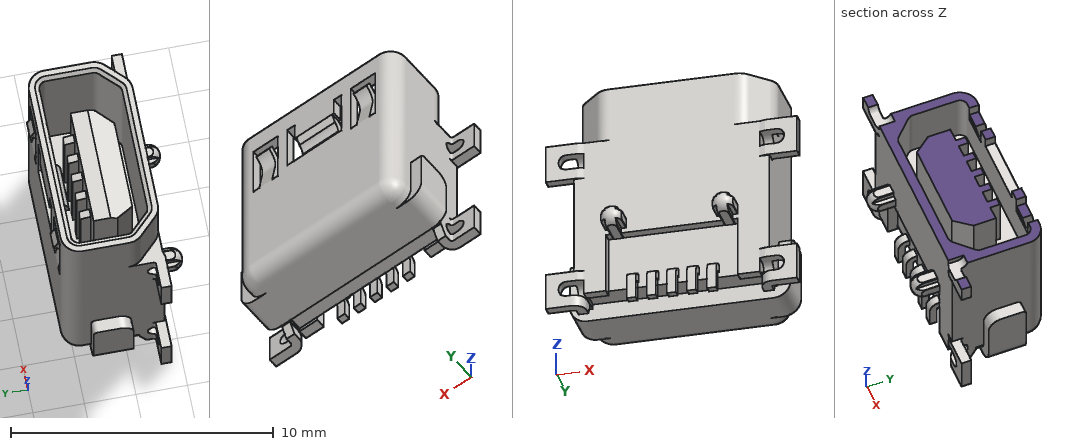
import cadquery as cq
import math


WIDTH = 9.9
HEIGHT = 9.2
SHELL_WIDTH = 7.7
SHELL_DEPTH = 3.9
SHEET = 0.41
SHELL_HALF = SHELL_WIDTH / 2
INNER_HALF = SHELL_HALF - SHEET
INNER_BACK = SHELL_DEPTH - SHEET

CORNER_RADIUS = 0.71
MOUTH_BEVEL = 1.08
BEVEL_BOTTOM = 7.0
RIM_CHAMFER = 0.17
RIM_DEPTH = 0.1
BASE_FILLET = 0.68

FLOOR_Z = 3.96
HOUSING_BOTTOM = 0.68
FLAP_FRONT = 1.3
FRONT_BOTTOM = 0.495
SIDE_BOTTOM = 0.61
WINDOW_HALF = 2.59
WINDOW_TOP = 2.91

TONGUE_HALF = 2.3
TONGUE_TIP_HALF = 1.77
TONGUE_FRONT = 0.85
TONGUE_SHOULDER = 1.52
TONGUE_RIDGE = 1.79
TONGUE_BACK = 2.46
TONGUE_TOP = 8.32
TONGUE_DROP = 0.46

CONTACT_COUNT = 5
CONTACT_PITCH = 0.79
BLADE_WIDTH = 0.32
BLADE_BACK = 2.84
BLADE_TOP = 7.52
BLADE_SLOPE = 0.08
BLADE_ROUND = 0.04
TAIL_WIDTH = 0.36
TAIL_THICKNESS = 0.3
TAIL_TOP = 1.21
TAIL_BOTTOM = 0.03
TAIL_BEND = 0.38
TAIL_ROOT_Y = 0.81

SEAT_Y = -0.06
TAB_BACK = SEAT_Y + SHEET
TAB_HEIGHT_UPPER = 1.51
TAB_HEIGHT_LOWER = 1.48
JOGGLE_START = 3.465
JOGGLE_END = 3.69
TAB_FILLET = 0.1
FOOT_BEND = 0.495
FOOT_TOP = 0.46
FOOT_BACK_LOW = 0.7
FOOT_BACK_HIGH = 0.99
SLOT_RADIUS = 0.31
SLOT_END = 4.45
UPPER_SLOT_Z = 6.24
LOWER_SLOT_Z = 0.76

PEG_X = 2.2
PEG_Z = 3.31
PEG_TIP = -1.0
PEG_SPAN = 0.81
PEG_ARM_X = 0.44
PEG_ARM_Z = 0.4
PEG_DOME = 0.45

WING_HALF = 4.36
WING_BACK = 2.85
WING_TOP = 2.61
WING_FRONT_RADIUS = 0.53
WING_BACK_RADIUS = 0.19

LATCH_X = 2.36
LATCH_WIDTH = 0.62
LATCH_TIP_Y = 3.9
LATCH_TIP_Z = 7.68
LATCH_RADIUS = 1.12
LATCH_TIP_ANGLE = 63.0
LATCH_ROOT_ANGLE = 12.0
LATCH_WINDOW_WIDTH = 1.18
LATCH_WINDOW_TOP = 8.13
LATCH_WINDOW_BOTTOM = 5.445

SPRING_HALF = 0.95
SPRING_LEAF_HALF = 0.86
SPRING_SLOT_HALF = 1.32
SPRING_TOP = 8.12
SPRING_BEND_Z = 7.23
SPRING_TIP_Y = 3.12
SPRING_BEND_ANGLE = 55.0
SPRING_WINDOW_BOTTOM = 5.74


def box(x0, x1, y0, y1, z0, z1):
    """Axis-aligned box between two corners."""
    return cq.Workplane("XY").box(x1 - x0, y1 - y0, z1 - z0, centered=False).translate((x0, y0, z0))


def extrude_x(profile, width, center_x=0.0):
    """Extrude a closed YZ profile along X, centred on center_x."""
    return profile.extrude(width / 2, both=True).translate((center_x, 0, 0))


def arc_point(center_y, center_z, radius, angle):
    """YZ point on a circle; the angle rises from the -Y direction toward +Z."""
    return (center_y - radius * math.cos(angle), center_z + radius * math.sin(angle))


def both_sides(solid):
    """The solid together with its mirror image across X = 0."""
    return solid.union(solid.mirror("YZ"))


def mouth_prism(bottom, top, inset=0.0):
    """Bevelled mouth section with rounded corners, shrunk evenly by inset."""
    half = SHELL_HALF - inset
    back = SHELL_DEPTH - inset
    bevel = MOUTH_BEVEL - inset * (2 - math.sqrt(2))
    outline = cq.Workplane("XY").workplane(offset=bottom).polyline([
        (-half, inset + bevel),
        (-half + bevel, inset),
        (half - bevel, inset),
        (half, inset + bevel),
        (half, back),
        (-half, back),
    ]).close()
    return outline.extrude(top - bottom).edges("|Z").fillet(CORNER_RADIUS - inset)


def shell_body():
    """Outer body: square-fronted below, bevelled around the mouth, closed at the base."""
    lower = box(-SHELL_HALF, SHELL_HALF, 0, SHELL_DEPTH, 0, BEVEL_BOTTOM)
    lower = lower.edges("|Z and >Y").fillet(CORNER_RADIUS)
    lower = lower.faces("<Z").edges("not(<Y)").fillet(BASE_FILLET)
    lower = lower.cut(box(-WIDTH, WIDTH, 0, FLAP_FRONT, 0, FRONT_BOTTOM))
    lower = lower.union(both_sides(box(INNER_HALF, SHELL_HALF, 0, FLAP_FRONT, SIDE_BOTTOM, BASE_FILLET)))
    lower = lower.cut(box(-INNER_HALF, INNER_HALF, SHEET, FLAP_FRONT, 0, HOUSING_BOTTOM))
    lower = lower.cut(box(-WINDOW_HALF, WINDOW_HALF, 0, SHEET, 0, WINDOW_TOP))
    return lower.union(mouth_prism(BEVEL_BOTTOM, HEIGHT))


def cavity():
    """Plug opening with a chamfered rim."""
    opening = mouth_prism(FLOOR_Z, HEIGHT, SHEET)
    rim = mouth_prism(HEIGHT - RIM_DEPTH, HEIGHT + SHEET, SHEET - RIM_CHAMFER)
    return opening.union(rim.faces("<Z").chamfer(RIM_DEPTH, RIM_CHAMFER))


def tongue():
    """Contact tongue with a sloped front and bevelled front corners."""
    plan = cq.Workplane("XY").workplane(offset=FLOOR_Z).polyline([
        (-TONGUE_TIP_HALF, TONGUE_FRONT),
        (TONGUE_TIP_HALF, TONGUE_FRONT),
        (TONGUE_HALF, TONGUE_SHOULDER),
        (TONGUE_HALF, TONGUE_BACK),
        (-TONGUE_HALF, TONGUE_BACK),
        (-TONGUE_HALF, TONGUE_SHOULDER),
    ]).close().extrude(TONGUE_TOP - FLOOR_Z)
    slope = cq.Workplane("YZ").polyline([
        (TONGUE_FRONT, TONGUE_TOP - TONGUE_DROP),
        (TONGUE_RIDGE, TONGUE_TOP),
        (TONGUE_FRONT, TONGUE_TOP),
    ]).close()
    return plan.cut(extrude_x(slope, 2 * TONGUE_HALF))


def contact(center_x):
    """One contact: a blade on the back of the tongue and a bent solder tail."""
    blade = cq.Workplane("YZ").polyline([
        (TONGUE_BACK, FLOOR_Z),
        (BLADE_BACK, FLOOR_Z),
        (BLADE_BACK, BLADE_TOP - BLADE_SLOPE),
        (TONGUE_BACK, BLADE_TOP),
    ]).close()
    inner_radius = TAIL_BEND - TAIL_THICKNESS
    bend_y = SEAT_Y + TAIL_BEND
    bend_z = TAIL_TOP - TAIL_BEND
    mid_angle = math.radians(45)
    tail = (
        cq.Workplane("YZ")
        .moveTo(SEAT_Y, TAIL_BOTTOM)
        .lineTo(SEAT_Y, bend_z)
        .threePointArc(arc_point(bend_y, bend_z, TAIL_BEND, mid_angle), (bend_y, TAIL_TOP))
        .lineTo(TAIL_ROOT_Y, TAIL_TOP)
        .lineTo(TAIL_ROOT_Y, TAIL_TOP - TAIL_THICKNESS)
        .lineTo(bend_y, TAIL_TOP - TAIL_THICKNESS)
        .threePointArc(
            arc_point(bend_y, bend_z, inner_radius, mid_angle), (bend_y - inner_radius, bend_z)
        )
        .lineTo(SEAT_Y + TAIL_THICKNESS, TAIL_BOTTOM)
        .close()
    )
    blade = extrude_x(blade, BLADE_WIDTH, center_x)
    blade = blade.edges("|X and >Y").edges(">Z").fillet(BLADE_ROUND)
    return blade.union(extrude_x(tail, TAIL_WIDTH, center_x))


def tab(bottom, height):
    """Right-hand solder tab with a joggle down to the seating plane."""
    return (
        cq.Workplane("XY")
        .workplane(offset=bottom)
        .moveTo(JOGGLE_START, 0)
        .lineTo(JOGGLE_END, SEAT_Y)
        .lineTo(WIDTH / 2, SEAT_Y)
        .lineTo(WIDTH / 2, TAB_BACK)
        .lineTo(SHELL_HALF + TAB_FILLET, TAB_BACK)
        .radiusArc((SHELL_HALF, TAB_BACK + TAB_FILLET), TAB_FILLET)
        .lineTo(JOGGLE_START, TAB_BACK + TAB_FILLET)
        .close()
        .extrude(height)
    )


def foot():
    """Lower end of the right side wall, rolled outward into the lower tab."""
    bend_x = JOGGLE_START + FOOT_BEND
    bend_y = SEAT_Y + FOOT_BEND
    strip = (
        cq.Workplane("XY")
        .moveTo(bend_x, SEAT_Y)
        .lineTo(WIDTH / 2, SEAT_Y)
        .lineTo(WIDTH / 2, TAB_BACK)
        .lineTo(SHELL_HALF + TAB_FILLET, TAB_BACK)
        .radiusArc((SHELL_HALF, TAB_BACK + TAB_FILLET), TAB_FILLET)
        .lineTo(SHELL_HALF, FOOT_BACK_HIGH)
        .lineTo(JOGGLE_START, FOOT_BACK_HIGH)
        .lineTo(JOGGLE_START, bend_y)
        .radiusArc((bend_x, SEAT_Y), -FOOT_BEND)
        .close()
        .extrude(SIDE_BOTTOM)
    )
    slanted_back = cq.Workplane("YZ").polyline([
        (FOOT_BACK_LOW, 0),
        (FOOT_BACK_HIGH, FRONT_BOTTOM),
        (FOOT_BACK_HIGH, 0),
    ]).close()
    return strip.cut(extrude_x(slanted_back, WIDTH))


def tab_slot(center_z):
    """Round-ended slot through the right tab, running into the side wall behind it."""
    end_x = SLOT_END - SLOT_RADIUS
    through = box(JOGGLE_START, end_x, SEAT_Y, TAB_BACK, center_z - SLOT_RADIUS, center_z + SLOT_RADIUS)
    round_end = (
        cq.Workplane("XZ", origin=(end_x, SEAT_Y, center_z))
        .circle(SLOT_RADIUS)
        .extrude(-SHEET)
    )
    wall_notch = (
        cq.Workplane("YZ", origin=(JOGGLE_START, TAB_BACK, center_z))
        .circle(SLOT_RADIUS)
        .extrude(end_x - JOGGLE_START)
    )
    return through.union(round_end).union(wall_notch)


def peg():
    """Right-hand cross-shaped peg with a domed tip."""
    length = SHEET - PEG_TIP
    center = (PEG_X, (SHEET + PEG_TIP) / 2, PEG_Z)
    cross = (
        cq.Workplane("XY").box(PEG_SPAN, length, PEG_ARM_Z)
        .union(cq.Workplane("XY").box(PEG_ARM_X, length, PEG_SPAN))
        .translate(center)
    )
    dome_y = PEG_TIP + PEG_DOME
    dome = cq.Workplane("XY").sphere(PEG_DOME).translate((PEG_X, dome_y, PEG_Z))
    shank = cq.Workplane("XZ", origin=(PEG_X, dome_y, PEG_Z)).circle(PEG_DOME).extrude(dome_y - SHEET)
    return cross.intersect(dome.union(shank))


def wing():
    """Right-hand wing of the base flap, folded up along the side of the shell."""
    inner_x = SHELL_HALF - BASE_FILLET
    block = box(inner_x, WING_HALF, FLAP_FRONT, WING_BACK, 0, WING_TOP)
    block = block.edges("|X and >Z and <Y").fillet(WING_FRONT_RADIUS)
    block = block.edges("|X and >Z and >Y").fillet(WING_BACK_RADIUS)
    return block.edges("|Y and >X and <Z").fillet(BASE_FILLET)


def latch_window():
    """Opening in the back wall around the right latch."""
    half = LATCH_WINDOW_WIDTH / 2
    return box(
        LATCH_X - half, LATCH_X + half, INNER_BACK, SHELL_DEPTH, LATCH_WINDOW_BOTTOM, LATCH_WINDOW_TOP
    )


def latch():
    """Right latch leaf: rises from the back wall, bows into the mouth and hooks outward."""
    tip = math.radians(LATCH_TIP_ANGLE)
    root = math.radians(-LATCH_ROOT_ANGLE)
    center_y = LATCH_TIP_Y + LATCH_RADIUS * math.cos(tip)
    center_z = LATCH_TIP_Z - LATCH_RADIUS * math.sin(tip)

    def on_arc(radius, angle):
        return arc_point(center_y, center_z, radius, angle)

    inner_radius = LATCH_RADIUS - SHEET
    root_front = on_arc(LATCH_RADIUS, root)
    root_back = on_arc(inner_radius, root)
    lean = math.tan(-root)
    root_z = LATCH_WINDOW_BOTTOM - SHEET
    profile = (
        cq.Workplane("YZ")
        .moveTo(*on_arc(LATCH_RADIUS, tip))
        .threePointArc(on_arc(LATCH_RADIUS, (tip + root) / 2), root_front)
        .lineTo(root_front[0] + lean * (root_front[1] - root_z), root_z)
        .lineTo(SHELL_DEPTH, root_z)
        .lineTo(SHELL_DEPTH, LATCH_WINDOW_BOTTOM)
        .lineTo(*root_back)
        .threePointArc(on_arc(inner_radius, (tip + root) / 2), on_arc(inner_radius, tip))
        .close()
    )
    return extrude_x(profile, LATCH_WIDTH, LATCH_X)


def spring_window():
    """U-shaped opening that frees the central spring from the back wall."""
    window = box(
        -SPRING_SLOT_HALF, SPRING_SLOT_HALF, INNER_BACK, SHELL_DEPTH, SPRING_WINDOW_BOTTOM, SPRING_TOP
    )
    root = box(-SPRING_HALF, SPRING_HALF, INNER_BACK, SHELL_DEPTH, SPRING_BEND_Z, SPRING_TOP)
    return window.cut(root)


def spring():
    """Central leaf hanging from the back wall and curving into the mouth until it is upright."""
    angle = math.radians(SPRING_BEND_ANGLE)
    outer_radius = (INNER_BACK - SPRING_TIP_Y) / (1 - math.cos(angle))
    inner_radius = outer_radius - SHEET
    center_y = SPRING_TIP_Y + outer_radius
    center_z = SPRING_BEND_Z - outer_radius * math.sin(angle)

    def on_arc(radius, at):
        return arc_point(center_y, center_z, radius, at)

    profile = (
        cq.Workplane("YZ")
        .moveTo(INNER_BACK, SPRING_BEND_Z)
        .threePointArc(on_arc(outer_radius, angle / 2), on_arc(outer_radius, 0))
        .lineTo(*on_arc(inner_radius, 0))
        .threePointArc(on_arc(inner_radius, angle / 2), on_arc(inner_radius, angle))
        .lineTo(SHELL_DEPTH, SPRING_BEND_Z)
        .close()
    )
    return extrude_x(profile, 2 * SPRING_LEAF_HALF)


result = shell_body().union(both_sides(wing()))
result = result.cut(cavity()).union(tongue())

result = result.cut(both_sides(latch_window())).union(both_sides(latch()))
result = result.cut(spring_window()).union(spring())

result = result.union(both_sides(tab(BEVEL_BOTTOM - TAB_HEIGHT_UPPER, TAB_HEIGHT_UPPER)))
result = result.union(both_sides(tab(FOOT_TOP, TAB_HEIGHT_LOWER - FOOT_TOP)))
result = result.union(both_sides(foot()))
for slot_z in (UPPER_SLOT_Z, LOWER_SLOT_Z):
    result = result.cut(both_sides(tab_slot(slot_z)))

result = result.union(both_sides(peg()))
for index in range(CONTACT_COUNT):
    result = result.union(contact((index - (CONTACT_COUNT - 1) / 2) * CONTACT_PITCH))